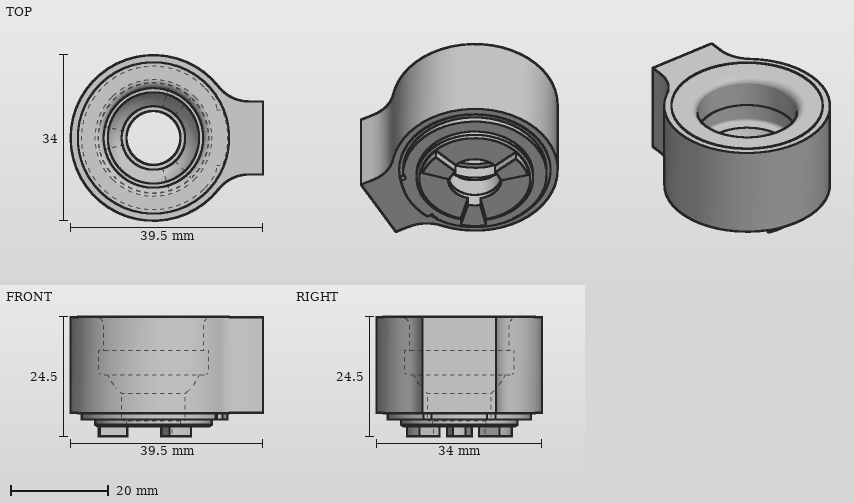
import cadquery as cq
import math

total_height = 24.5
foot_height = 2.0
collar_bottom = foot_height
collar_chamfer = 0.4
flange_bottom = 3.4
insert_lip = 0.1
housing_bottom = 4.77
housing_top = total_height - insert_lip

overall_length = 39.45
housing_radius = 33.95 / 2
arm_end = overall_length - housing_radius
arm_half_width = 7.5
arm_blend_radius = 7.9

insert_radius = 15.5
flange_radius = 14.7
collar_radius = 11.95
collar_bottom_radius = 11.35

tab_radius = 15.22
tab_half_width = 5.68
tab_root = 13.0
notch_outer_x = 12.75

mouth_radius = 20.4 / 2
mouth_width = 1.95
mouth_round = 1.97
undercut_radius = 11.25
undercut_round = 0.9
undercut_top = 17.55
seat_floor = 12.5
seat_rim_radius = 9.35
ball_radius = 10.2
lower_bore_radius = 6.5
lower_bore_round = 0.45
lower_floor = 3.15
through_radius = 11.0 / 2

foot_count = 3
foot_outer_radius = 11.25
foot_half_angle = 13.2
foot_blank_radius = 3.95


def cylinder(radius, bottom, top):
    return cq.Workplane("XY").workplane(offset=bottom).circle(radius).extrude(top - bottom)


def make_housing():
    """Round housing whose arm runs out through tangent concave blends."""
    center_y = arm_half_width + arm_blend_radius
    center_distance = housing_radius + arm_blend_radius
    center_x = math.sqrt(center_distance**2 - center_y**2)
    touch_x = center_x * housing_radius / center_distance
    touch_y = center_y * housing_radius / center_distance
    start_angle = math.atan2(-center_y, -center_x)
    middle_angle = (start_angle - math.pi / 2) / 2
    middle_x = center_x + arm_blend_radius * math.cos(middle_angle)
    middle_y = center_y + arm_blend_radius * math.sin(middle_angle)
    return (
        cq.Workplane("XY").workplane(offset=housing_bottom)
        .moveTo(touch_x, touch_y)
        .threePointArc((-housing_radius, 0), (touch_x, -touch_y))
        .threePointArc((middle_x, -middle_y), (center_x, -arm_half_width))
        .lineTo(arm_end, -arm_half_width)
        .lineTo(arm_end, arm_half_width)
        .lineTo(center_x, arm_half_width)
        .threePointArc((middle_x, middle_y), (touch_x, touch_y))
        .close()
        .extrude(housing_top - housing_bottom)
    )


def make_flange():
    """Flange disc with a locating tab between two shallow notches."""
    notch_outer_y = math.sqrt(flange_radius**2 - notch_outer_x**2)
    tab_corner_x = math.sqrt(tab_radius**2 - tab_half_width**2)
    return (
        cq.Workplane("XY").workplane(offset=flange_bottom)
        .moveTo(notch_outer_x, notch_outer_y)
        .threePointArc((-flange_radius, 0), (notch_outer_x, -notch_outer_y))
        .lineTo(tab_root, -tab_half_width)
        .lineTo(tab_corner_x, -tab_half_width)
        .threePointArc((tab_radius, 0), (tab_corner_x, tab_half_width))
        .lineTo(tab_root, tab_half_width)
        .close()
        .extrude(housing_bottom - flange_bottom)
    )


def make_foot(direction):
    """Ring sector below the collar, centred on the given direction in degrees."""
    def polar(radius, offset):
        angle = math.radians(direction + offset)
        return (radius * math.cos(angle), radius * math.sin(angle))

    return (
        cq.Workplane("XY")
        .moveTo(*polar(foot_blank_radius, -foot_half_angle))
        .lineTo(*polar(foot_outer_radius, -foot_half_angle))
        .threePointArc(polar(foot_outer_radius, 0), polar(foot_outer_radius, foot_half_angle))
        .lineTo(*polar(foot_blank_radius, foot_half_angle))
        .threePointArc(polar(foot_blank_radius, 0), polar(foot_blank_radius, -foot_half_angle))
        .close()
        .extrude(foot_height)
    )


def make_bore():
    """Revolved cavity: rounded mouth, undercut, spherical seat and lower bore."""
    ball_center = seat_floor + math.sqrt(ball_radius**2 - seat_rim_radius**2)
    seat_bottom = ball_center - math.sqrt(ball_radius**2 - lower_bore_radius**2)
    seat_middle_radius = (seat_rim_radius + lower_bore_radius) / 2
    seat_middle = ball_center - math.sqrt(ball_radius**2 - seat_middle_radius**2)
    diagonal = math.sqrt(0.5)
    mouth_angle = math.asin(mouth_width / mouth_round)
    rim_radius = mouth_radius + mouth_width
    mouth_middle_radius = rim_radius - mouth_round * math.sin(mouth_angle / 2)
    mouth_middle = total_height - mouth_round * (1 - math.cos(mouth_angle / 2))
    mouth_bottom = total_height - mouth_round * (1 - math.cos(mouth_angle))
    undercut_bend = undercut_round * (1 - diagonal)
    lower_bend = lower_bore_round * (1 - diagonal)
    return (
        cq.Workplane("XZ")
        .moveTo(0, total_height)
        .lineTo(rim_radius, total_height)
        .threePointArc((mouth_middle_radius, mouth_middle), (mouth_radius, mouth_bottom))
        .lineTo(mouth_radius, undercut_top)
        .lineTo(undercut_radius, undercut_top)
        .lineTo(undercut_radius, seat_floor + undercut_round)
        .threePointArc(
            (undercut_radius - undercut_bend, seat_floor + undercut_bend),
            (undercut_radius - undercut_round, seat_floor),
        )
        .lineTo(seat_rim_radius, seat_floor)
        .threePointArc((seat_middle_radius, seat_middle), (lower_bore_radius, seat_bottom))
        .lineTo(lower_bore_radius, lower_floor + lower_bore_round)
        .threePointArc(
            (lower_bore_radius - lower_bend, lower_floor + lower_bend),
            (lower_bore_radius - lower_bore_round, lower_floor),
        )
        .lineTo(through_radius, lower_floor)
        .lineTo(through_radius, 0)
        .lineTo(0, 0)
        .close()
        .revolve(360, (0, 0, 0), (0, 1, 0))
    )


collar = cylinder(collar_radius, collar_bottom, flange_bottom)
collar = collar.faces("<Z").chamfer(collar_chamfer, collar_radius - collar_bottom_radius)
insert = cylinder(insert_radius, housing_bottom - insert_lip, total_height)

result = make_housing().union(insert).union(make_flange()).union(collar)
for index in range(foot_count):
    result = result.union(make_foot(180 + index * 360 / foot_count))
result = result.cut(make_bore())